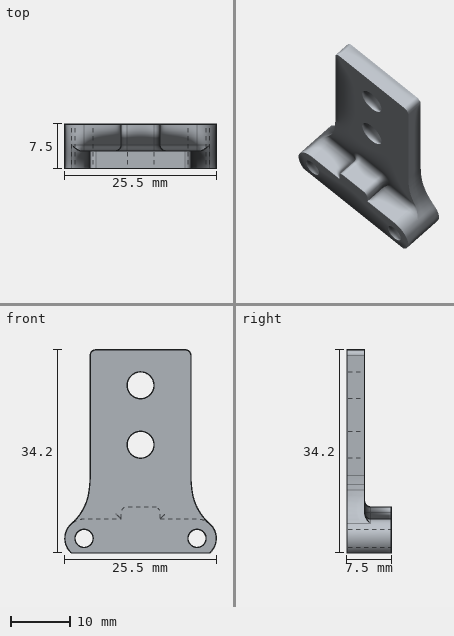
import cadquery as cq
import math

width = 25.5
depth = 7.5
height = 34.25

plate_width = 17.0
plate_thickness = 3.0
plate_corner_radius = 1.0
flare_radius = 8.65
taper_angle = math.radians(5.7)
taper_height = 0.9
taper_blend_height = 1.55

lug_radius = 3.25
lug_center_z = 2.5
lug_center_x = width / 2 - lug_radius
bar_top = lug_center_z + lug_radius

block_width = 6.55
block_top = 7.8
block_corner_radius = 1.0

blend_radius = 1.0

lug_hole_diameter = 3.0
plate_hole_diameter = 4.5
lower_plate_hole_z = 18.25
plate_hole_spacing = 10.0

margin = 0.35


def extrude_back(sketch, length):
    """Extrude an XZ sketch from the front face towards +Y."""
    return sketch.extrude(-length)


def round_top_corners(body, top, radius):
    """Round the front-to-back edges that lie at height top."""
    at_top = cq.selectors.BoxSelector(
        (-width, -margin, top - margin), (width, depth + margin, top + margin)
    )
    return body.edges("|Y").edges(at_top).fillet(radius)


def make_foot(length):
    """Rounded bar with a flat bottom and a raised middle block."""
    bottom_half = lug_center_x + math.sqrt(lug_radius**2 - lug_center_z**2)
    half_block = block_width / 2
    bar = extrude_back(
        cq.Workplane("XZ")
        .moveTo(-bottom_half, 0)
        .lineTo(bottom_half, 0)
        .threePointArc((width / 2, lug_center_z), (lug_center_x, bar_top))
        .lineTo(half_block, bar_top)
        .lineTo(half_block, block_top)
        .lineTo(-half_block, block_top)
        .lineTo(-half_block, bar_top)
        .lineTo(-lug_center_x, bar_top)
        .threePointArc((-width / 2, lug_center_z), (-bottom_half, 0))
        .close(),
        length,
    )
    return round_top_corners(bar, block_top, block_corner_radius)


def make_plate(length):
    """Upright plate whose sides flare out in arcs tangent to the lugs."""
    half_plate = plate_width / 2
    blend_run = taper_blend_height * math.tan(taper_angle / 2)
    taper_top_x = half_plate + blend_run
    taper_bottom_x = taper_top_x + taper_height * math.tan(taper_angle)
    flare_x = taper_bottom_x + flare_radius * math.cos(taper_angle)
    run = flare_x - lug_center_x
    center_distance = flare_radius + lug_radius
    rise = math.sqrt(center_distance**2 - run**2)
    touch_x = lug_center_x + run * lug_radius / center_distance
    touch_z = lug_center_z + rise * lug_radius / center_distance
    middle_angle = (math.atan2(rise, run) + taper_angle) / 2
    middle_x = flare_x - flare_radius * math.cos(middle_angle)
    flare_z = lug_center_z + rise
    middle_z = flare_z - flare_radius * math.sin(middle_angle)
    taper_bottom_z = flare_z - flare_radius * math.sin(taper_angle)
    taper_top_z = taper_bottom_z + taper_height
    straight_z = taper_top_z + taper_blend_height
    taper_blend_radius = taper_blend_height / math.sin(taper_angle)
    blend_middle_x = half_plate + taper_blend_radius * (1 - math.cos(taper_angle / 2))
    blend_middle_z = straight_z - taper_blend_radius * math.sin(taper_angle / 2)
    plate = extrude_back(
        cq.Workplane("XZ")
        .moveTo(-lug_center_x, lug_center_z)
        .lineTo(lug_center_x, lug_center_z)
        .lineTo(touch_x, touch_z)
        .threePointArc((middle_x, middle_z), (taper_bottom_x, taper_bottom_z))
        .lineTo(taper_top_x, taper_top_z)
        .threePointArc((blend_middle_x, blend_middle_z), (half_plate, straight_z))
        .lineTo(half_plate, height)
        .lineTo(-half_plate, height)
        .lineTo(-half_plate, straight_z)
        .threePointArc((-blend_middle_x, blend_middle_z), (-taper_top_x, taper_top_z))
        .lineTo(-taper_bottom_x, taper_bottom_z)
        .threePointArc((-middle_x, middle_z), (-touch_x, touch_z))
        .close(),
        length,
    )
    return round_top_corners(plate, height, plate_corner_radius)


def upper_box(length):
    """Oversized box that starts at the lug centers and reaches up."""
    return (
        cq.Workplane("XY", origin=(0, 0, lug_center_z))
        .box(2 * width, length, height, centered=(True, False, False))
    )


def make_blended_foot():
    """Upper half of the foot on an oversized slab, with a concave blend between them."""
    upper_foot = make_foot(depth).intersect(upper_box(depth))
    joined = upper_box(plate_thickness).union(upper_foot).clean()
    seam_area = cq.selectors.BoxSelector(
        (-width / 2 - margin, plate_thickness - margin, lug_center_z + margin),
        (width / 2 + margin, plate_thickness + margin, block_top + margin),
    )
    return joined.edges(seam_area).fillet(blend_radius)


def make_holes(points, diameter):
    """Round cutters through the full depth at the given (x, z) points."""
    return extrude_back(cq.Workplane("XZ").pushPoints(points).circle(diameter / 2), depth)


blend = make_blended_foot().intersect(make_plate(plate_thickness + blend_radius))
body = make_foot(depth).union(make_plate(plate_thickness)).union(blend)

lug_holes = [(-lug_center_x, lug_center_z), (lug_center_x, lug_center_z)]
plate_holes = [(0, lower_plate_hole_z), (0, lower_plate_hole_z + plate_hole_spacing)]

result = body.cut(make_holes(lug_holes, lug_hole_diameter)).cut(
    make_holes(plate_holes, plate_hole_diameter)
)